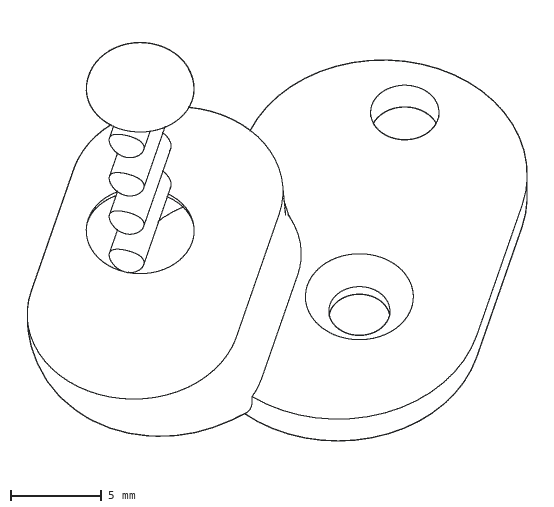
import cadquery as cq

POST_DIAMETER = 6.0
POST_EDGE_RADIUS = 1.0
TOTAL_HEIGHT = 23.0
CROSS_HOLE_DIAMETER = 2.0
CROSS_HOLE_COUNT = 4
CROSS_HOLE_PITCH = 3.5
FIRST_CROSS_HOLE_RISE = 2.0

BODY_HEIGHT = 8.0
DECK_WIDTH = 11.82
DECK_LENGTH = 20.7
DECK_CENTER_X = 1.0
DECK_CENTER_Y = -0.53
FOOT_WIDTH = 10.22
FOOT_LENGTH = 15.87
FOOT_SHIFT_X = 2.4
FOOT_SHIFT_Y = 2.7
BODY_STEPS = 4
CURVE_POWER_X = 2.0
CURVE_POWER_Y = 2.6

OVERALL_WIDTH = 23.43
OVERALL_LENGTH = 31.35
PLATE_WIDTH = 16.0
PLATE_LENGTH = 25.37
PLATE_THICKNESS = 2.0
PLATE_CENTER_X = DECK_CENTER_X - DECK_WIDTH / 2 + OVERALL_WIDTH - PLATE_WIDTH / 2
PLATE_CENTER_Y = DECK_CENTER_Y - DECK_LENGTH / 2 + OVERALL_LENGTH - PLATE_LENGTH / 2
PLAIN_HOLE_DIAMETER = 3.8
PLAIN_HOLE_OFFSET_Y = 9.2
SCREW_HOLE_DIAMETER = 3.4
SCREW_HEAD_DIAMETER = 6.0
SCREW_HEAD_ANGLE = 90
SCREW_HOLE_OFFSET_X = 1.0
SCREW_HOLE_OFFSET_Y = -3.85


def blend(start, end, fraction):
    return start + (end - start) * fraction


def slot_wire(center_x, center_y, z, width, length):
    """Closed slot outline with its long direction along Y."""
    radius = width / 2
    half_straight = length / 2 - radius
    return (
        cq.Workplane("XY", origin=(center_x, center_y, z))
        .moveTo(radius, -half_straight)
        .lineTo(radius, half_straight)
        .threePointArc((0, length / 2), (-radius, half_straight))
        .lineTo(-radius, -half_straight)
        .threePointArc((0, -length / 2), (radius, -half_straight))
        .close()
        .val()
    )


def make_body():
    """Loft from deck to foot; the walls leave the deck vertically and curve in."""
    sections = []
    for step in range(BODY_STEPS + 1):
        drop = step / BODY_STEPS
        curve_x = drop**CURVE_POWER_X
        curve_y = drop**CURVE_POWER_Y
        sections.append(
            slot_wire(
                DECK_CENTER_X + FOOT_SHIFT_X * curve_x,
                DECK_CENTER_Y + FOOT_SHIFT_Y * curve_y,
                BODY_HEIGHT * (1 - drop),
                blend(DECK_WIDTH, FOOT_WIDTH, curve_x),
                blend(DECK_LENGTH, FOOT_LENGTH, curve_y),
            )
        )
    return cq.Workplane(cq.Solid.makeLoft(sections))


def make_plate():
    outline = slot_wire(PLATE_CENTER_X, PLATE_CENTER_Y, 0, PLATE_WIDTH, PLATE_LENGTH)
    return cq.Workplane(outline).toPending().extrude(PLATE_THICKNESS)


def make_post():
    """Post with a rounded tip and a flared, concave root."""
    radius = POST_DIAMETER / 2
    root_radius = radius + POST_EDGE_RADIUS
    tip_radius = radius - POST_EDGE_RADIUS
    return (
        cq.Workplane("XZ")
        .moveTo(0, BODY_HEIGHT - PLATE_THICKNESS)
        .lineTo(tip_radius, BODY_HEIGHT - PLATE_THICKNESS)
        .lineTo(tip_radius, BODY_HEIGHT)
        .lineTo(root_radius, BODY_HEIGHT)
        .radiusArc((radius, BODY_HEIGHT + POST_EDGE_RADIUS), POST_EDGE_RADIUS)
        .lineTo(radius, TOTAL_HEIGHT - POST_EDGE_RADIUS)
        .radiusArc((tip_radius, TOTAL_HEIGHT), -POST_EDGE_RADIUS)
        .lineTo(0, TOTAL_HEIGHT)
        .close()
        .revolve(360, (0, 0), (0, 1))
    )


def make_cross_holes():
    """Row of round cutters running through the post along Y."""
    heights = [
        BODY_HEIGHT + FIRST_CROSS_HOLE_RISE + CROSS_HOLE_PITCH * index
        for index in range(CROSS_HOLE_COUNT)
    ]
    return (
        cq.Workplane("XZ")
        .pushPoints([(0, height) for height in heights])
        .circle(CROSS_HOLE_DIAMETER / 2)
        .extrude(POST_DIAMETER, both=True)
    )


def cut_plate_holes(part):
    plate_top = cq.Vector(PLATE_CENTER_X, PLATE_CENTER_Y, PLATE_THICKNESS)
    part = (
        part.copyWorkplane(cq.Workplane("XY", origin=plate_top))
        .center(0, PLAIN_HOLE_OFFSET_Y)
        .hole(PLAIN_HOLE_DIAMETER, PLATE_THICKNESS)
    )
    return (
        part.copyWorkplane(cq.Workplane("XY", origin=plate_top))
        .center(SCREW_HOLE_OFFSET_X, SCREW_HOLE_OFFSET_Y)
        .cskHole(SCREW_HOLE_DIAMETER, SCREW_HEAD_DIAMETER, SCREW_HEAD_ANGLE, PLATE_THICKNESS)
    )


post = make_post().cut(make_cross_holes())
result = cut_plate_holes(make_body().union(make_plate()).union(post))